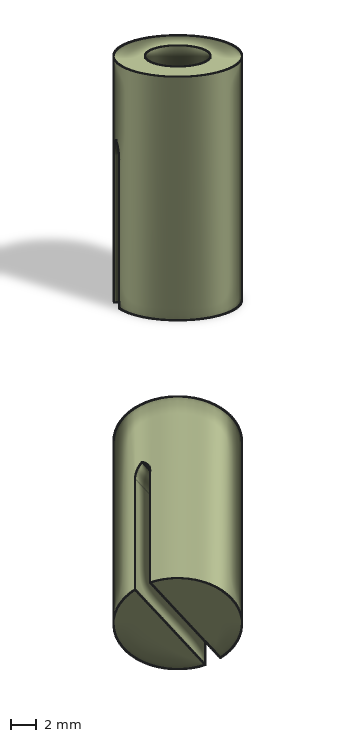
import cadquery as cq

body_diameter = 10.0
body_height = 20.0

bore_diameter = 5.1
bore_depth = 2.0

slot_width = 1.4
slot_straight_height = 12.2
slot_tip_height = 13.6


def make_body():
    return cq.Workplane("XY").circle(body_diameter / 2).extrude(body_height)


def make_bore():
    bore_floor = body_height - bore_depth
    return cq.Workplane("XY").workplane(offset=bore_floor).circle(bore_diameter / 2).extrude(bore_depth)


def make_slot():
    half_width = slot_width / 2
    right_arch = (half_width, slot_straight_height)
    left_arch = (-half_width, slot_straight_height)
    tip = (0, slot_tip_height)
    rise = slot_tip_height - slot_straight_height
    radius = (half_width**2 + rise**2) / (2 * half_width)
    profile = (
        cq.Workplane("XZ")
        .moveTo(-half_width, 0)
        .lineTo(half_width, 0)
        .lineTo(*right_arch)
        .radiusArc(tip, -radius)
        .radiusArc(left_arch, -radius)
        .close()
    )
    return profile.extrude(body_diameter / 2, both=True)


result = make_body().cut(make_bore()).cut(make_slot())